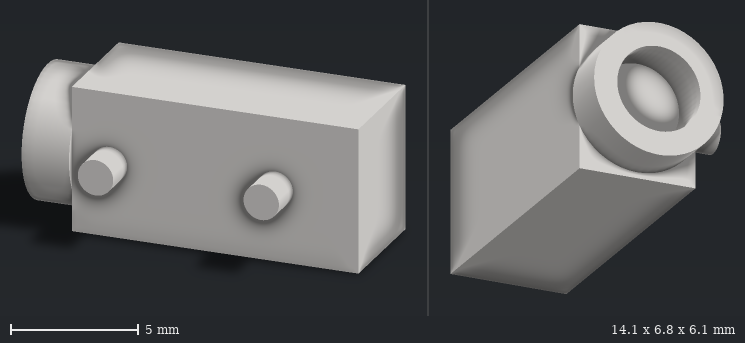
import cadquery as cq

total_length = 14.1
body_width = 5.0
body_height = 6.1

collar_length = 2.0
collar_diameter = 5.6
bore_diameter = 3.6
bore_depth = collar_length

pin_diameter = 1.5
pin_length = 1.5
first_pin_x = 3.6
pin_spacing = 7.0


def make_body():
    """Rectangular block behind the collar, centred on the X axis."""
    body_length = total_length - collar_length
    block = cq.Workplane("XY").box(body_length, body_width, body_height, centered=(False, True, True))
    return block.translate((collar_length, 0, 0))


def x_cylinder(diameter, length):
    """Cylinder along +X, starting at the open end of the collar."""
    return cq.Workplane("YZ").circle(diameter / 2).extrude(length)


def make_pin(x):
    """Pin standing out of the -Y face of the body."""
    face = cq.Workplane("XZ", origin=(x, -body_width / 2, 0))
    return face.circle(pin_diameter / 2).extrude(pin_length)


result = make_body().union(x_cylinder(collar_diameter, collar_length))
result = result.cut(x_cylinder(bore_diameter, bore_depth))
for pin_x in (first_pin_x, first_pin_x + pin_spacing):
    result = result.union(make_pin(pin_x))